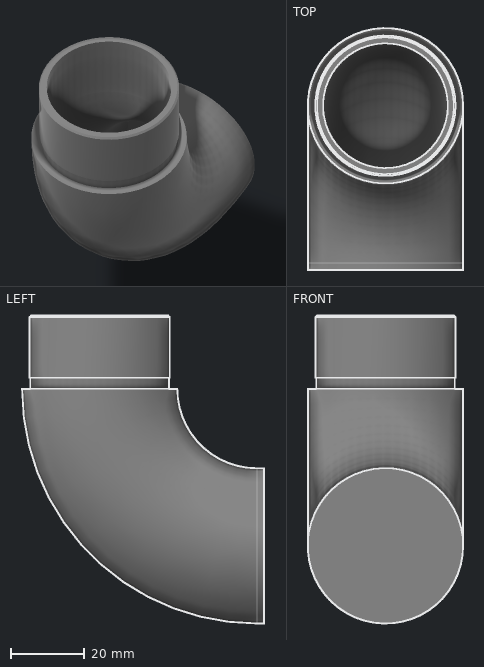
import cadquery as cq

tube_diameter = 42.4
bore_diameter = 34.0
bend_radius = 42.8
bend_angle = 90.0

cap_thickness = 2.0

spigot_diameter = 38.3
spigot_length = 20.0
spigot_chamfer = 0.5
neck_diameter = 37.9
neck_length = 3.0


def quarter_bend(diameter):
    """Round bar swept from the shoulder (Z = 0, axis +Z) down to the end facing -Y."""
    return (
        cq.Workplane("XY")
        .circle(diameter / 2)
        .revolve(bend_angle, (0, -bend_radius, 0), (-1, -bend_radius, 0))
    )


def end_cap():
    """Solid disc on the -Y end of the bend."""
    return (
        cq.Workplane("XZ", origin=(0, -bend_radius, -bend_radius))
        .circle(tube_diameter / 2)
        .extrude(cap_thickness)
    )


def spigot():
    """Neck and chamfered spigot standing on the shoulder."""
    neck = cq.Workplane("XY").circle(neck_diameter / 2).extrude(neck_length)
    sleeve = (
        cq.Workplane("XY", origin=(0, 0, neck_length))
        .circle(spigot_diameter / 2)
        .extrude(spigot_length - neck_length)
        .faces(">Z")
        .edges()
        .chamfer(spigot_chamfer)
    )
    return neck.union(sleeve)


def spigot_bore():
    """Straight bore from the spigot mouth down to the start of the bend."""
    return cq.Workplane("XY").circle(bore_diameter / 2).extrude(spigot_length)


tube = quarter_bend(tube_diameter).cut(quarter_bend(bore_diameter))
hollow_spigot = spigot().cut(spigot_bore())

result = tube.union(hollow_spigot).union(end_cap())